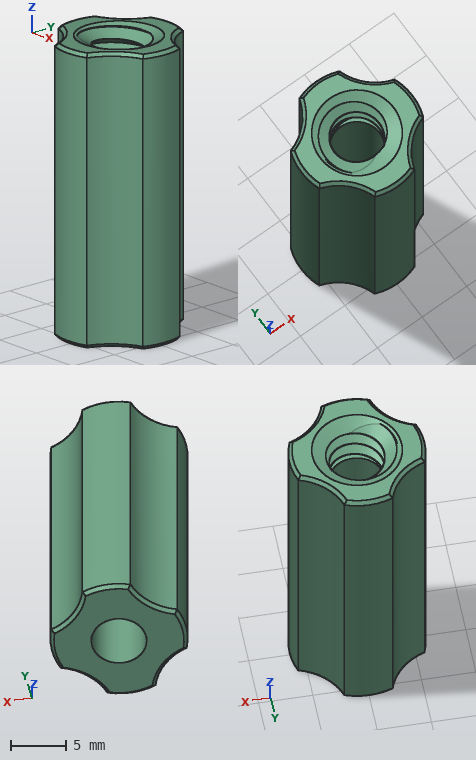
import cadquery as cq
import math

length = 28.12
outer_diameter = 12.45
outer_radius = outer_diameter / 2
lobe_width = 4.45
flute_floor_radius = 5.05
end_chamfer = 0.35

bore_radius = 2.5
sink_radius = 4.1
sink_depth = 0.65

pitch = 1.5
thread_depth = 1.3
thread_bottom = length - 4.27
crest_flat = 0.03
root_flat = 0.042
crest_end_angle = 275.0
crest_step = 0.03
bore_overlap = 0.08


def fluted_bar():
    corner_near = lobe_width / 2
    corner_far = math.sqrt(outer_radius**2 - corner_near**2)
    flute_middle = flute_floor_radius / math.sqrt(2)

    def turned(x, y, quarter):
        for _ in range(quarter):
            x, y = -y, x
        return x, y

    outline = cq.Workplane("XY").moveTo(corner_far, -corner_near)
    for quarter in range(4):
        lobe_middle = turned(outer_radius, 0, quarter)
        lobe_end = turned(corner_far, corner_near, quarter)
        flute_bottom = turned(flute_middle, flute_middle, quarter)
        flute_end = turned(corner_near, corner_far, quarter)
        outline = outline.threePointArc(lobe_middle, lobe_end)
        outline = outline.threePointArc(flute_bottom, flute_end)
    bar = outline.close().extrude(length)
    return bar.faces("<Z or >Z").edges().chamfer(end_chamfer)


def countersunk_bore():
    return (
        cq.Workplane("XZ")
        .polyline([
            (0, 0),
            (bore_radius, 0),
            (bore_radius, length - sink_depth),
            (sink_radius, length),
            (0, length),
        ])
        .close()
        .revolve(360, (0, 0), (0, 1))
    )


def thread_groove():
    crest_height = length - sink_depth - pitch * crest_end_angle / 360
    groove_height = crest_height - pitch / 2
    turns_below = math.ceil((groove_height - thread_bottom) / pitch) + 1
    start_height = groove_height - turns_below * pitch
    turns = math.ceil((length - start_height) / pitch) + 1

    inner_radius = bore_radius - bore_overlap
    flank_start = bore_radius + crest_step
    root_radius = bore_radius + thread_depth
    half_mouth = (pitch - crest_flat) / 2
    half_root = root_flat / 2
    path = cq.Wire.makeHelix(pitch, turns * pitch, bore_radius, cq.Vector(0, 0, start_height))
    groove = (
        cq.Workplane("XZ")
        .polyline([
            (inner_radius, start_height - half_mouth),
            (flank_start, start_height - half_mouth),
            (root_radius, start_height - half_root),
            (root_radius, start_height + half_root),
            (flank_start, start_height + half_mouth),
            (inner_radius, start_height + half_mouth),
        ])
        .close()
        .sweep(cq.Workplane(path), isFrenet=True)
    )
    threaded_zone = (
        cq.Workplane("XY")
        .workplane(offset=thread_bottom)
        .circle(outer_radius)
        .extrude(length - thread_bottom)
    )
    return groove.intersect(threaded_zone)


result = fluted_bar().cut(countersunk_bore()).cut(thread_groove())